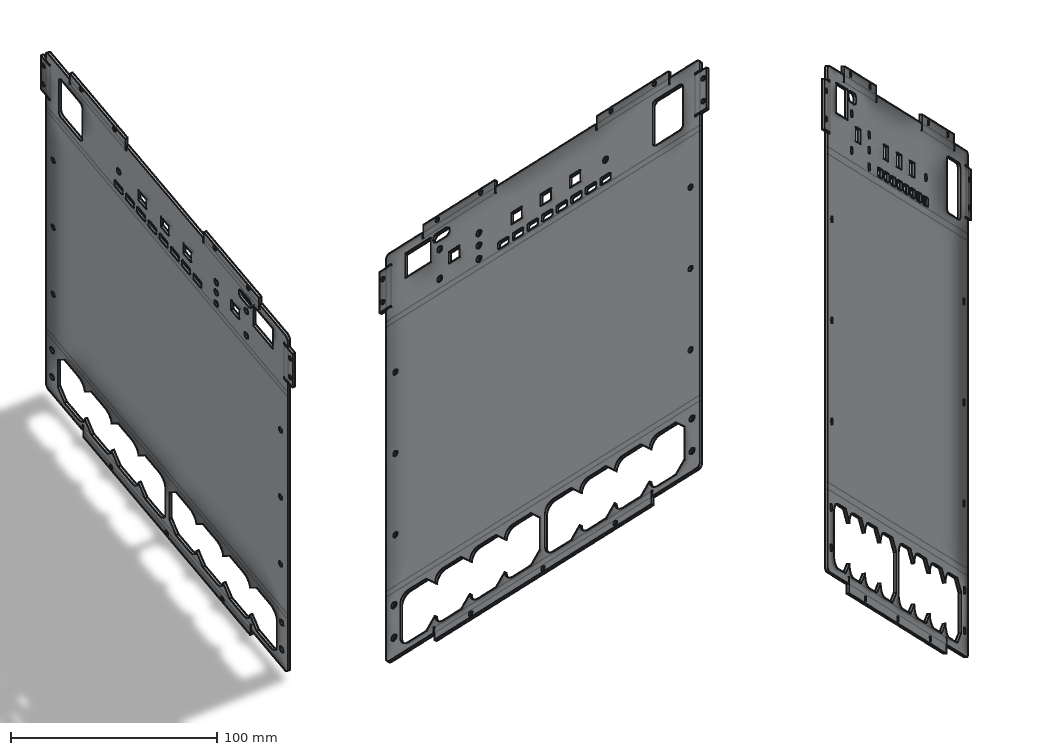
import cadquery as cq


thickness = 1.5
overall_width = 226.0
overall_height = 259.4
flange_length = 4.5
bend_width = 3.5
sheet_width = overall_width - 2 * flange_length
sheet_height = overall_height - 2 * flange_length
half_width = sheet_width / 2
half_height = sheet_height / 2
centre_panel_height = 162.4
end_zone_height = (sheet_height - centre_panel_height) / 2 - bend_width
end_zone_z = half_height - end_zone_height / 2
corner_radius = 2.5

relief_width = 0.7
flange_hole_diameter = 2.53
flange_hole_offset = flange_length / 2
top_flange_width = 49.6
top_flange_positions = (-62.0, 58.0)
top_flange_hole_positions = (-15.0, 15.0)
side_flange_width = 25.0
side_flange_hole_positions = (-7.0, 7.0)
bottom_flange_width = 150.0
bottom_flange_hole_positions = (-50.0, 0.0, 50.0)

screw_hole_diameter = 3.5
panel_hole_diameter = 3.0
panel_hole_x = 102.0
panel_hole_pitch = 50.0
lower_hole_x = 103.0
lower_hole_shift = 2.2
lower_hole_pitch = 20.0
upper_hole_positions = (
    (-43.2, 99.6),
    (44.3, 103.2),
    (44.3, 95.7),
    (44.3, 87.4),
    (71.3, 108.4),
    (71.3, 90.2),
)

inlet_width = 21.0
inlet_height = 28.1
inlet_centre = (-86.3, 103.0)
inlet_radius = 2.5
window_width = 17.7
window_height = 15.0
window_centre = (86.4, 111.5)
oval_length = 11.5
oval_end_radius = 2.65
oval_height = 5.4
oval_centre = (70.2, 116.5)
square_size = 7.2
square_z = 99.6
square_x_positions = (-22.1, -1.9, 18.3, 61.3)
slot_count = 8
slot_pitch = 10.08
slot_width = 7.4
slot_height = 4.4
slot_radius = 1.0
slot_row_centre = (-7.9, 87.8)

cell_count = 4
cell_width = 24.1
cell_height = 32.1
cell_corner = 6.0
socket_x_positions = (-49.6, 50.5)


def block(width, height, x, z):
    return cq.Workplane("XY").box(width, thickness, height).translate((x, 0, z))


def drill(diameter, x, z):
    return (
        cq.Workplane("XZ")
        .circle(diameter / 2)
        .extrude(thickness, both=True)
        .translate((x, 0, z))
    )


def rounded_opening(width, height, radius, x, z):
    return block(width, height, x, z).edges("|Y").fillet(radius)


def make_flange(width, hole_positions):
    """Return the bend strip, tab and relief pocket of a flange whose sheet edge is at Z = 0."""
    strip = block(width, bend_width, 0, -bend_width / 2)
    tab = block(width, flange_length, 0, flange_length / 2)
    for x in hole_positions:
        tab = tab.cut(drill(flange_hole_diameter, x, flange_hole_offset))
    pocket = block(width + 2 * relief_width, bend_width, 0, -bend_width / 2)
    return strip, tab, pocket


def place(body, angle, x, z):
    return body.rotate((0, 0, 0), (0, 1, 0), angle).translate((x, 0, z))


def make_flanges():
    """Return the bend strips and tabs of every flange, and the pockets they need in the sheet."""
    layout = [
        (side_flange_width, side_flange_hole_positions, -90, -half_width, end_zone_z),
        (side_flange_width, side_flange_hole_positions, 90, half_width, end_zone_z),
        (bottom_flange_width, bottom_flange_hole_positions, 180, 0, -half_height),
    ]
    for x in top_flange_positions:
        layout.append((top_flange_width, top_flange_hole_positions, 0, x, half_height))
    added = []
    pockets = []
    for width, holes, angle, x, z in layout:
        strip, tab, pocket = make_flange(width, holes)
        added += [place(strip, angle, x, z), place(tab, angle, x, z)]
        pockets.append(place(pocket, angle, x, z))
    return added, pockets


def make_socket_opening(centre_x):
    """Row of touching cells whose clipped corners leave pointed teeth between them."""
    opening = None
    for index in range(cell_count):
        x = centre_x + (index - (cell_count - 1) / 2) * cell_width
        cell = block(cell_width, cell_height, x, -end_zone_z)
        cell = cell.edges("|Y and <X").chamfer(cell_corner)
        cell = cell.edges("|Y and >X").fillet(cell_corner)
        opening = cell if opening is None else opening.union(cell)
    return opening


def make_end_zone(z):
    outer_edges = "|Y and >Z" if z > 0 else "|Y and <Z"
    return block(sheet_width, end_zone_height, 0, z).edges(outer_edges).fillet(corner_radius)


def cut_upper_openings(zone):
    zone = zone.cut(rounded_opening(inlet_width, inlet_height, inlet_radius, *inlet_centre))
    zone = zone.cut(block(window_width, window_height, *window_centre))
    zone = zone.cut(rounded_opening(oval_length, oval_height, oval_end_radius, *oval_centre))
    for x in square_x_positions:
        zone = zone.cut(block(square_size, square_size, x, square_z))
    row_x, row_z = slot_row_centre
    for index in range(slot_count):
        x = row_x + (index - (slot_count - 1) / 2) * slot_pitch
        zone = zone.cut(rounded_opening(slot_width, slot_height, slot_radius, x, row_z))
    for x, z in upper_hole_positions:
        zone = zone.cut(drill(screw_hole_diameter, x, z))
    return zone


def cut_lower_openings(zone):
    for x in socket_x_positions:
        zone = zone.cut(make_socket_opening(x))
    for x in (-lower_hole_x, lower_hole_x):
        for offset in (-lower_hole_pitch / 2, lower_hole_pitch / 2):
            zone = zone.cut(drill(screw_hole_diameter, x, -end_zone_z + lower_hole_shift + offset))
    return zone


def make_centre_panel():
    panel = block(sheet_width, centre_panel_height, 0, 0)
    for x in (-panel_hole_x, panel_hole_x):
        for z in (-panel_hole_pitch, 0, panel_hole_pitch):
            panel = panel.cut(drill(panel_hole_diameter, x, z))
    return panel


flange_bodies, flange_pockets = make_flanges()
upper_zone = cut_upper_openings(make_end_zone(end_zone_z))
lower_zone = cut_lower_openings(make_end_zone(-end_zone_z))
for pocket in flange_pockets:
    upper_zone = upper_zone.cut(pocket)
    lower_zone = lower_zone.cut(pocket)

bend_z = (centre_panel_height + bend_width) / 2
result = make_centre_panel()
for z in (-bend_z, bend_z):
    result = result.union(block(sheet_width, bend_width, 0, z), clean=False)
for body in [upper_zone, lower_zone] + flange_bodies:
    result = result.union(body, clean=False)